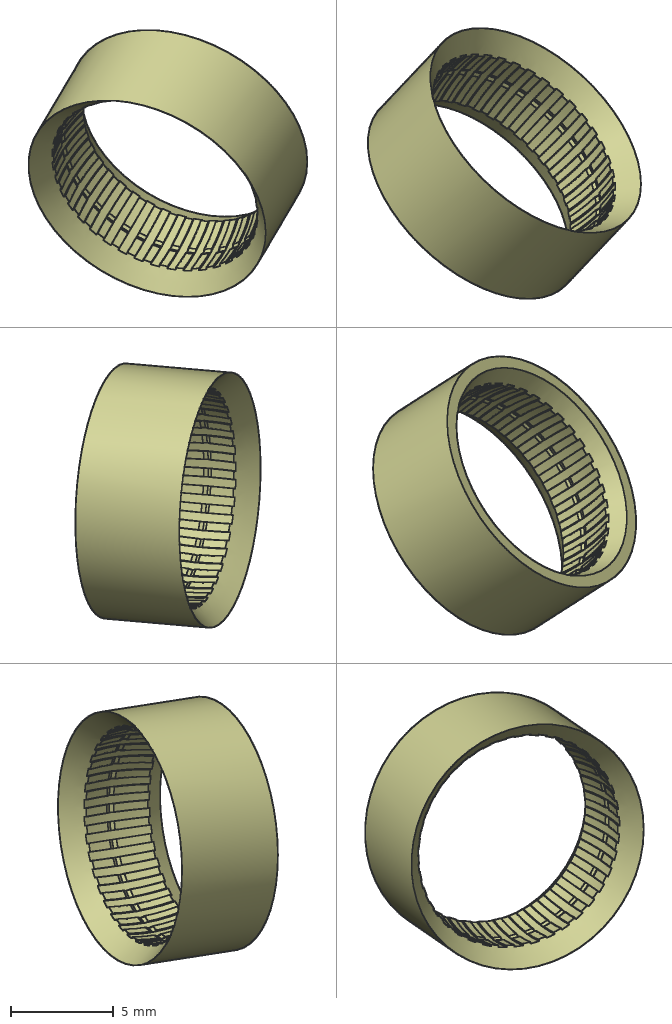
import cadquery as cq
import math

outer_diameter = 12.5
length = 5.35
outer_radius = outer_diameter / 2
rear_y = length / 2
front_y = -rear_y

rear_rim_radius = 5.62
front_cone_angle = 40.0
rear_cone_angle = 27.0

groove_front_radius = 5.41
groove_middle_radius = 5.49
groove_rear_radius = 5.2
groove_depth = 0.06
groove_width = 0.45
groove_count = 39
pitch_angle = 360 / groove_count
rib_width = 2 * math.pi * groove_middle_radius / groove_count - groove_width

notch_rear_y = -0.02
notch_width = 0.4
notch_depth = 0.09

cutter_overlap = 0.12
inside_radius = groove_rear_radius - groove_depth - cutter_overlap


def front_cone_point(radius):
    return radius, front_y + (outer_radius - radius) / math.tan(math.radians(front_cone_angle))


def rear_cone_point(radius):
    return radius, rear_y - (rear_rim_radius - radius) / math.tan(math.radians(rear_cone_angle))


def barrel_points(inset):
    """Rear, middle and front points of the bore curve, inset from the groove floor."""
    rear = rear_cone_point(groove_rear_radius - inset)
    middle = (groove_middle_radius - inset, 0)
    front = front_cone_point(groove_front_radius - inset)
    return rear, middle, front


def make_sleeve():
    rear, middle, front = barrel_points(groove_depth)
    return (
        cq.Workplane("XY")
        .moveTo(outer_radius, front_y)
        .lineTo(outer_radius, rear_y)
        .lineTo(rear_rim_radius, rear_y)
        .lineTo(*rear)
        .threePointArc(middle, front)
        .close()
        .revolve(360, (0, 0, 0), (0, 1, 0))
    )


def make_sector(outline, width, centre_angle):
    """Turn an outline about the axis over the given width; zero degrees is the bottom of the bore."""
    sector_angle = 2 * math.degrees(math.asin(width / 2 / groove_middle_radius))
    turned = outline.close().revolve(sector_angle, (0, 0, 0), (0, 1, 0)).val()
    start_angle = 90 - sector_angle / 2
    return turned.rotate(cq.Vector(0, 0, 0), cq.Vector(0, 1, 0), start_angle + centre_angle)


def make_groove_cutter(centre_angle):
    rear, middle, front = barrel_points(0)
    outline = (
        cq.Workplane("XY")
        .moveTo(inside_radius, front[1])
        .lineTo(*front)
        .threePointArc(middle, rear)
        .lineTo(inside_radius, rear[1])
    )
    return make_sector(outline, groove_width, centre_angle)


def make_notch_cutter(centre_angle):
    notch_front_y = notch_rear_y - notch_width
    rib_radius = groove_middle_radius - groove_depth
    outline = cq.Workplane("XY").polyline([
        (inside_radius, notch_rear_y),
        (rib_radius, notch_rear_y),
        (rib_radius + notch_depth, (notch_rear_y + notch_front_y) / 2),
        (rib_radius, notch_front_y),
        (inside_radius, notch_front_y),
    ])
    return make_sector(outline, rib_width, centre_angle)


cutters = []
for index in range(groove_count):
    groove_angle = index * pitch_angle
    cutters.append(make_groove_cutter(groove_angle))
    cutters.append(make_notch_cutter(groove_angle + pitch_angle / 2))

result = cq.Workplane("XY").newObject([make_sleeve().val().cut(*cutters)])